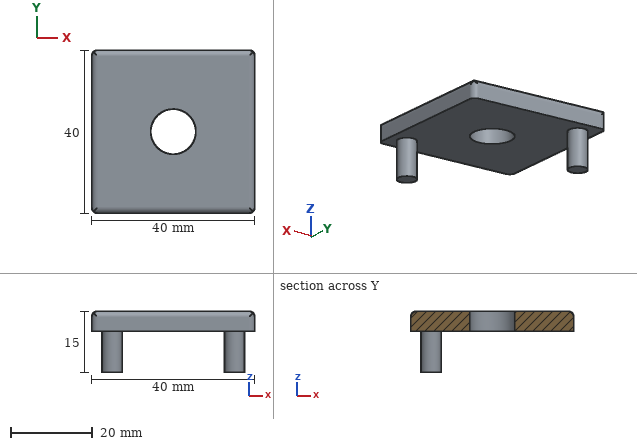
import cadquery as cq

plate_side = 40.0
plate_thickness = 5.0
edge_radius = 0.3 * plate_thickness
hole_diameter = 11.0

peg_diameter = 5.0
peg_length = 10.0
peg_inset = 5.0
peg_offset = plate_side / 2 - peg_inset
peg_centers = [(-peg_offset, peg_offset), (peg_offset, -peg_offset)]


def make_rounded_block(edge_selector):
    """Plate-sized block with only the selected edges rounded."""
    block = cq.Workplane("XY").box(
        plate_side, plate_side, plate_thickness, centered=(True, True, False)
    )
    return block.edges(edge_selector).fillet(edge_radius)


def make_plate():
    """Plate whose three sets of roundings meet in mitred corners, with a central through hole."""
    rounded_corners = make_rounded_block("|Z")
    rounded_along_x = make_rounded_block("|X and >Z")
    rounded_along_y = make_rounded_block("|Y and >Z")
    plate = rounded_corners.intersect(rounded_along_x).intersect(rounded_along_y)
    return plate.faces(">Z").workplane(origin=(0, 0, plate_thickness)).hole(hole_diameter)


def make_pegs():
    """Pegs hanging down from the underside of the plate."""
    return cq.Workplane("XY").pushPoints(peg_centers).circle(peg_diameter / 2).extrude(-peg_length)


result = make_plate().union(make_pegs())